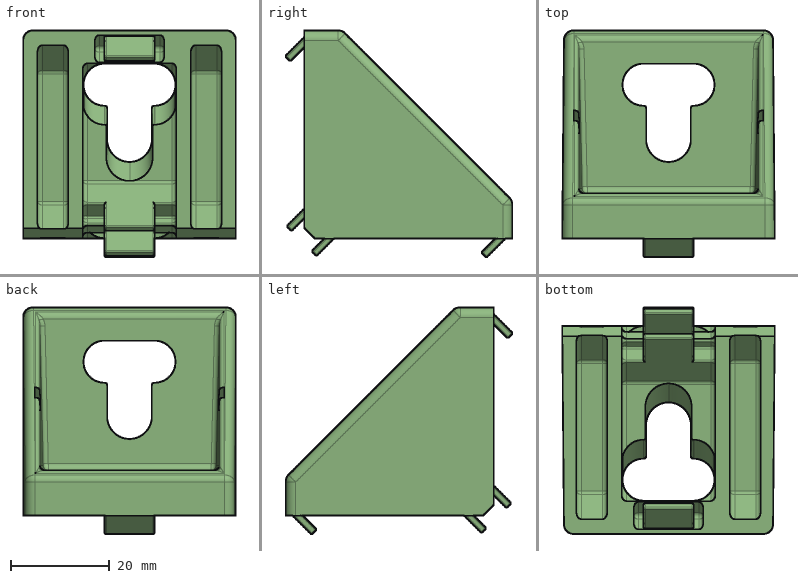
import cadquery as cq
import math

TOTAL_SIZE = 45.85
TAB_REACH = 3.75
LEG = TOTAL_SIZE - TAB_REACH
WIDTH = 43.0
SIDE_DRAFT = 0.35
HEEL_CHAMFER = 2.1
EDGE_RADIUS = 2.0
SLOPE_SUM = 49.75
CLEARANCE = 22.9

HOLLOW_OFFSET = 9.15
HOLLOW_HALF_DEEP = 17.4
HOLLOW_HALF_RIM = 18.15
HOLLOW_SIDE_RADIUS = 1.0
HOLLOW_CORNER_RADIUS = 1.4
RIM_SIDE_RADIUS = 0.9
NOTCH_WIDTH = 2.9
NOTCH_DEPTH = 3.65
NOTCH_HALF_SPAN = 19.1

RECESS_DEPTH = 5.3
POCKET_WIDTH = 19.0
POCKET_END = 35.4
POCKET_RADIUS = 0.95
GROOVE_X = 15.5
GROOVE_WIDTH = 6.25
GROOVE_END = 39.05
GROOVE_RAMP = 1.8
GROOVE_RADIUS = 1.0
END_NOTCH_TOP = 41.1
END_NOTCH_BOTTOM = 35.55
END_NOTCH_WIDTH = 14.03
END_NOTCH_RADIUS = 0.9

TAB_WIDTH = 10.15
TAB_EDGE_RADIUS = 0.3
TAB_EMBED = 0.9
END_TAB_TOP = 40.7
END_TAB_BOTTOM = 38.55
HEEL_TAB_TOP = 6.05
HEEL_TAB_BOTTOM = 4.05
HEEL_TAB_REACH = 3.45
SHOULDER_SUM = 8.15
WEB_SUM = 5.4
WEB_OFFSET = 0.55
WEB_RADIUS = 0.35

LOBE_HALF_WIDTH = 9.25
LOBE_HALF_HEIGHT = 4.2
LOBE_RADIUS = 4.13
LOBE_Z = 31.1
STEM_INNER_RADIUS = 4.5
STEM_OUTER_RADIUS = 4.95
STEM_END = 15.5
NECK_X = 5.05


def diagonal_point(total, difference):
    """Return (y, z) with y + z = total and z - y = difference."""
    return ((total - difference) / 2, (total + difference) / 2)


def prism(points, width, x_centre=0.0):
    """Extrude a (y, z) polygon along X, centred on x_centre."""
    return cq.Workplane("YZ", origin=(x_centre, 0, 0)).polyline(points).close().extrude(width / 2, both=True)


def other_leg(shape):
    """Half a turn about the line Y = Z swaps the two legs."""
    return shape.rotate((0, 0, 0), (0, 1, 1), 180)


def make_body():
    slope_start = SLOPE_SUM - LEG
    outline = [
        (0, HEEL_CHAMFER), (HEEL_CHAMFER, 0), (LEG, 0),
        (LEG, slope_start), (slope_start, LEG), (0, LEG),
    ]
    near_half = WIDTH / 2
    far_half = near_half - SIDE_DRAFT
    plan = [(-near_half, 0), (near_half, 0), (far_half, LEG), (-far_half, LEG)]
    body = prism(outline, WIDTH).intersect(cq.Workplane("XY").polyline(plan).close().extrude(LEG))
    slope_edges = body.faces(">(0, 1, 1)").edges()
    leg_end_edges = body.faces(">Z or >Y").edges("not |X")
    return slope_edges.add(leg_end_edges).fillet(EDGE_RADIUS)


def corner_arc(before, corner, after, radius):
    """Return start, middle and end of the arc that rounds a corner."""
    corner = cq.Vector(*corner)
    back = (cq.Vector(*before) - corner).normalized()
    ahead = (cq.Vector(*after) - corner).normalized()
    half_angle = back.getAngle(ahead) / 2
    setback = radius / math.tan(half_angle)
    rise = radius / math.sin(half_angle) - radius
    arc = [corner + back * setback, corner + (back + ahead).normalized() * rise, corner + ahead * setback]
    return [(point.x, point.y) for point in arc]


def flared_profile(workplane, base, mouth, radius, outward):
    """Profile from the base points to a mouth with rounded lips, then on by the vector outward."""
    (left_u, left_v), (right_u, right_v) = mouth
    span = (right_u - left_u, right_v - left_v)
    left = corner_arc(base[0], mouth[0], (left_u - span[0], left_v - span[1]), radius)
    right = corner_arc(base[-1], mouth[1], (right_u + span[0], right_v + span[1]), radius)
    return (
        workplane.moveTo(*base[0])
        .lineTo(*left[0])
        .threePointArc(left[1], left[2])
        .line(*outward)
        .lineTo(right[2][0] + outward[0], right[2][1] + outward[1])
        .lineTo(*right[2])
        .threePointArc(right[1], right[0])
        .lineTo(*base[-1])
        .close()
    )


def make_hollow():
    reach = SLOPE_SUM - HOLLOW_OFFSET
    leg_gap = flared_profile(
        cq.Workplane("YZ"),
        base=[(HOLLOW_OFFSET, HOLLOW_OFFSET)],
        mouth=[(HOLLOW_OFFSET, reach), (reach, HOLLOW_OFFSET)],
        radius=EDGE_RADIUS,
        outward=(CLEARANCE, CLEARANCE),
    ).extrude(WIDTH / 2, both=True)

    deep = HOLLOW_OFFSET * math.sqrt(2)
    rim = SLOPE_SUM / math.sqrt(2)
    side_gap = flared_profile(
        cq.Workplane(cq.Plane(origin=(0, 0, 0), xDir=(1, 0, 0), normal=(0, -1, 1))),
        base=[(-HOLLOW_HALF_DEEP, deep), (HOLLOW_HALF_DEEP, deep)],
        mouth=[(-HOLLOW_HALF_RIM, rim), (HOLLOW_HALF_RIM, rim)],
        radius=RIM_SIDE_RADIUS,
        outward=(0, CLEARANCE),
    ).extrude(TOTAL_SIZE, both=True)

    hollow = leg_gap.intersect(side_gap)
    hollow = hollow.edges("|X").edges("<(0, 1, 1)").fillet(HOLLOW_CORNER_RADIUS)
    return hollow.faces("<Z or <Y").edges("not |X").fillet(HOLLOW_SIDE_RADIUS)


def make_rim_notches():
    """Slots cut into both side walls square to the sloping side, half way along it."""
    half = NOTCH_WIDTH / math.sqrt(2)
    bottom = SLOPE_SUM - NOTCH_DEPTH * math.sqrt(2)
    outline = [
        diagonal_point(bottom, -half), diagonal_point(SLOPE_SUM, -half),
        diagonal_point(SLOPE_SUM, half), diagonal_point(bottom, half),
    ]
    return prism(outline, 2 * NOTCH_HALF_SPAN)


def make_pocket():
    """Recess running along both legs and around the heel, leaving a thin web at the heel."""
    upright_half = [
        (0, POCKET_END),
        (RECESS_DEPTH, POCKET_END - RECESS_DEPTH),
        (RECESS_DEPTH, HEEL_TAB_TOP + RECESS_DEPTH),
        diagonal_point(SHOULDER_SUM, HEEL_TAB_TOP),
        diagonal_point(SHOULDER_SUM, WEB_OFFSET),
        diagonal_point(WEB_SUM, WEB_OFFSET),
    ]
    flat_half = [(z, y) for y, z in reversed(upright_half)]
    mouth = [(POCKET_END, -RECESS_DEPTH), (-RECESS_DEPTH, -RECESS_DEPTH), (-RECESS_DEPTH, POCKET_END)]
    pocket = prism(upright_half + flat_half + mouth, POCKET_WIDTH)

    clear = WEB_RADIUS
    heel_zone = cq.selectors.BoxSelector((-WIDTH, clear, clear), (WIDTH, SHOULDER_SUM, SHOULDER_SUM))
    inner_zone = cq.selectors.BoxSelector((-WIDTH, clear, clear), (WIDTH, POCKET_END, POCKET_END))
    pocket = pocket.edges("|X").edges(heel_zone).fillet(WEB_RADIUS)
    pocket = pocket.edges("|X").edges(inner_zone - heel_zone).fillet(POCKET_RADIUS)
    return pocket.faces("<X or >X").edges().fillet(POCKET_RADIUS)


def make_groove(x_centre):
    outline = [
        (-RECESS_DEPTH, GROOVE_END + RECESS_DEPTH),
        (RECESS_DEPTH, GROOVE_END - RECESS_DEPTH),
        (RECESS_DEPTH, GROOVE_RAMP + RECESS_DEPTH),
        (-RECESS_DEPTH, GROOVE_RAMP - RECESS_DEPTH),
    ]
    groove = prism(outline, GROOVE_WIDTH, x_centre)
    return groove.edges("not(|X and <Y)").fillet(GROOVE_RADIUS)


def make_end_notch():
    """V-shaped recess; its upper flank carries the end tab."""
    outline = [
        (-RECESS_DEPTH, END_NOTCH_TOP + RECESS_DEPTH),
        diagonal_point(END_NOTCH_TOP, END_NOTCH_BOTTOM),
        (-RECESS_DEPTH, END_NOTCH_BOTTOM - RECESS_DEPTH),
    ]
    notch = prism(outline, END_NOTCH_WIDTH)
    flank_edges = notch.faces("not <Y").edges("not <Y")
    return flank_edges.fillet(END_NOTCH_RADIUS)


def make_tab(top, bottom, reach, root_sum):
    """Flat tab between two 45 degree planes, its outer edges rounded."""
    corner_loss = TAB_EDGE_RADIUS * (math.sqrt(2) - 1)
    tip_sum = top - 2 * (reach + corner_loss)
    outline = [
        diagonal_point(root_sum, top), diagonal_point(tip_sum, top),
        diagonal_point(tip_sum, bottom), diagonal_point(root_sum, bottom),
    ]
    tab = prism(outline, TAB_WIDTH)
    tip_edges = tab.faces("<(0, 1, 1)").edges()
    long_edges = tab.edges("|(0, 1, 1)")
    return tip_edges.add(long_edges).fillet(TAB_EDGE_RADIUS)


def opening_outline(y, drop, stem_radius):
    """T-shaped outline in the plane at y; its lower edges lie below the inner ones by drop."""
    lobe_top = LOBE_Z + LOBE_HALF_HEIGHT
    lobe_bottom = LOBE_Z - LOBE_HALF_HEIGHT - drop
    end_x = LOBE_HALF_WIDTH
    shoulder_x = LOBE_HALF_WIDTH - LOBE_RADIUS
    arc_step = LOBE_RADIUS * (1 - math.sqrt(0.5))
    neck_radius = NECK_X - stem_radius
    stem_end = STEM_END - drop
    half = (
        cq.Workplane("XZ", origin=(0, y, 0))
        .moveTo(0, lobe_top)
        .lineTo(shoulder_x, lobe_top)
        .threePointArc((end_x - arc_step, lobe_top - arc_step), (end_x, lobe_top - LOBE_RADIUS))
        .lineTo(end_x, lobe_bottom + LOBE_RADIUS)
        .threePointArc((end_x - arc_step, lobe_bottom + arc_step), (shoulder_x, lobe_bottom))
        .lineTo(NECK_X, lobe_bottom)
        .radiusArc((stem_radius, lobe_bottom - neck_radius), -neck_radius)
        .lineTo(stem_radius, stem_end + stem_radius)
        .radiusArc((0, stem_end), stem_radius)
    )
    return half.mirrorY().wire().val()


def make_opening():
    """T-shaped hole whose lower walls sink at 45 degrees while its top runs straight."""
    outer = opening_outline(0, HOLLOW_OFFSET, STEM_OUTER_RADIUS)
    inner = opening_outline(HOLLOW_OFFSET, 0, STEM_INNER_RADIUS)
    return cq.Workplane(cq.Solid.makeLoft([outer, inner], True))


bracket = make_body().cut(make_hollow()).cut(make_rim_notches()).cut(make_pocket())

leg_cutters = [
    make_groove(-GROOVE_X),
    make_groove(GROOVE_X),
    make_end_notch(),
    make_opening(),
]
for cutter in leg_cutters:
    bracket = bracket.cut(cutter).cut(other_leg(cutter))

leg_tabs = [
    make_tab(END_TAB_TOP, END_TAB_BOTTOM, TAB_REACH, END_NOTCH_TOP + TAB_EMBED),
    make_tab(HEEL_TAB_TOP, HEEL_TAB_BOTTOM, HEEL_TAB_REACH, SHOULDER_SUM + TAB_EMBED),
]
for tab in leg_tabs:
    bracket = bracket.union(tab).union(other_leg(tab))

result = bracket